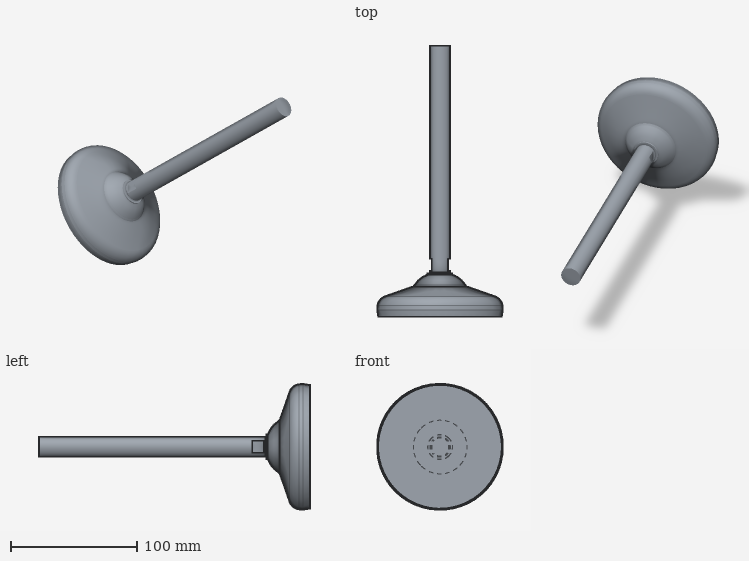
import cadquery as cq

total_length = 215.0
foot_diameter = 100.0
foot_radius = foot_diameter / 2

sole_radius = 49.0
widest_height = 5.8
rim_top_radius = 49.7
rim_top_height = 9.0
cone_base_radius = 43.5
cone_base_height = 16.3
cone_top_radius = 21.3
cone_top_height = 24.0
dome_base_radius = 20.0
dome_base_height = 25.4
dome_mid_radius = 14.5
dome_mid_height = 31.2
dome_top_radius = 9.7
foot_height = 33.5

stem_diameter = 16.1
stem_radius = stem_diameter / 2
collar_radius = 9.9
collar_thickness = 1.0
neck_chamfer = 0.9
flats_start = 36.5
flats_length = 9.5
flats_width = 13.1


def revolve_about_y(profile):
    """Turn a closed radius/height profile fully around the Y axis."""
    return profile.close().revolve(360, (0, 0, 0), (0, 1, 0))


def make_foot():
    """Round levelling foot: flared rim, shallow cone and domed hub."""
    profile = (
        cq.Workplane("XY")
        .lineTo(0, foot_height)
        .lineTo(dome_top_radius, foot_height)
        .threePointArc((dome_mid_radius, dome_mid_height), (dome_base_radius, dome_base_height))
        .lineTo(cone_top_radius, cone_top_height)
        .lineTo(cone_base_radius, cone_base_height)
        .tangentArcPoint((rim_top_radius, rim_top_height), relative=False)
        .lineTo(foot_radius, widest_height)
        .lineTo(sole_radius, 0)
    )
    return revolve_about_y(profile)


def make_stem():
    """Stem standing on the foot, with a thin collar and two wrench flats."""
    collar_top = foot_height + collar_thickness
    profile = (
        cq.Workplane("XY")
        .moveTo(0, foot_height)
        .lineTo(collar_radius, foot_height)
        .lineTo(collar_radius, collar_top)
        .lineTo(stem_radius - neck_chamfer, collar_top)
        .lineTo(stem_radius, collar_top + neck_chamfer)
        .lineTo(stem_radius, total_length)
        .lineTo(0, total_length)
    )
    stem = revolve_about_y(profile)

    cutter_offset = (flats_width + stem_radius) / 2
    flats_center = flats_start + flats_length / 2
    for side in (-1, 1):
        cutter = cq.Workplane("XY").box(stem_radius, flats_length, 2 * stem_radius)
        stem = stem.cut(cutter.translate((side * cutter_offset, flats_center, 0)))
    return stem


foot = make_foot()
stem = make_stem()

result = cq.Compound.makeCompound([foot.val(), stem.val()])